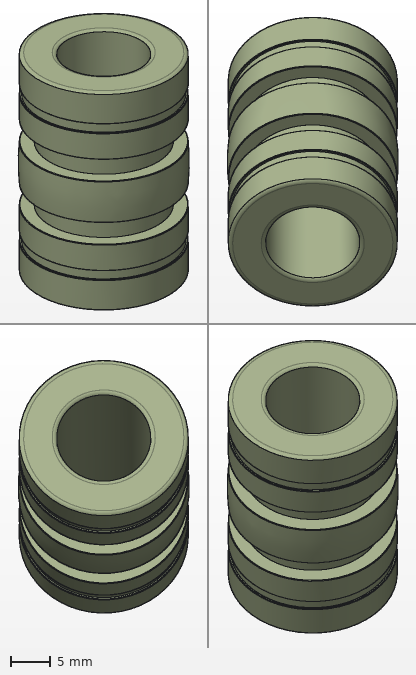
import cadquery as cq

length = 31.87
half_length = length / 2
bore_radius = 6.02
collar_radius = 10.85
neck_radius = 8.92

lip_width = 0.57
lip_height = 0.25
lip_radius = (lip_width**2 + lip_height**2) / (2 * lip_height)
lip_middle = lip_width / 2
lip_middle_drop = lip_radius - (lip_radius**2 - lip_middle**2) ** 0.5

groove_radius = 10.55
groove_bottom = 10.05
groove_top = 11.35

collar_bottom = 6.18
edge_chamfer = 0.1

crown_radius = 10.95
ring_edge_radius = 10.85
ring_half_width = 3.03


def band(outer_radius, z_low, z_high):
    """Solid cylinder between two heights."""
    return cq.Workplane("XY").workplane(offset=z_low).circle(outer_radius).extrude(z_high - z_low)


def end_band():
    """Band at the end of the sleeve, with an arc lip tangent to the end face."""
    lip_start = half_length - lip_height
    face_radius = collar_radius - lip_width
    return (
        cq.Workplane("XZ")
        .moveTo(0, groove_top)
        .lineTo(collar_radius - edge_chamfer, groove_top)
        .lineTo(collar_radius, groove_top + edge_chamfer)
        .lineTo(collar_radius, lip_start)
        .threePointArc((face_radius + lip_middle, half_length - lip_middle_drop), (face_radius, half_length))
        .lineTo(0, half_length)
        .close()
        .revolve(360, (0, 0, 0), (0, 1, 0))
    )


def bore_lip():
    """Material removed where the bore flares into the upper end face."""
    mouth_radius = bore_radius + lip_width
    return (
        cq.Workplane("XZ")
        .moveTo(0, half_length - lip_height)
        .lineTo(bore_radius, half_length - lip_height)
        .threePointArc((mouth_radius - lip_middle, half_length - lip_middle_drop), (mouth_radius, half_length))
        .lineTo(0, half_length)
        .close()
        .revolve(360, (0, 0, 0), (0, 1, 0))
    )


def make_sleeve():
    """Bored sleeve with a grooved collar at each end and a plain neck between."""
    inner_band = band(collar_radius, collar_bottom, groove_bottom).edges().chamfer(edge_chamfer)
    groove_floor = band(groove_radius, groove_bottom, groove_top)
    collar = inner_band.union(groove_floor).union(end_band())
    neck = band(neck_radius, -collar_bottom, collar_bottom)
    body = neck.union(collar).union(collar.mirror("XY"))
    bore = band(bore_radius, -half_length, half_length)
    lip = bore_lip()
    return body.cut(bore).cut(lip).cut(lip.mirror("XY"))


def make_crowned_ring():
    """Ring seated on the neck, with a slightly barrelled outside."""
    crown_end = ring_half_width - edge_chamfer
    face_radius = ring_edge_radius - edge_chamfer
    return (
        cq.Workplane("XZ")
        .moveTo(neck_radius, -ring_half_width)
        .lineTo(face_radius, -ring_half_width)
        .lineTo(ring_edge_radius, -crown_end)
        .threePointArc((crown_radius, 0), (ring_edge_radius, crown_end))
        .lineTo(face_radius, ring_half_width)
        .lineTo(neck_radius, ring_half_width)
        .close()
        .revolve(360, (0, 0, 0), (0, 1, 0))
    )


sleeve = make_sleeve()
crowned_ring = make_crowned_ring()
result = cq.Compound.makeCompound([sleeve.val(), crowned_ring.val()])